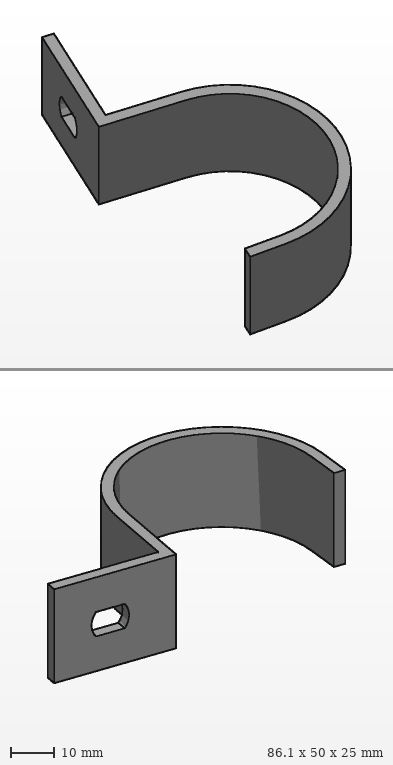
import cadquery as cq
import math

length = 86.1
depth = 50.0
width = 25.0
thickness = 3.0

outer_radius = 28.0
inner_radius = outer_radius - thickness
foot_length = 32.5
tail_end_y = 14.55

hole_diameter = 10.0
hole_height = 6.45
hole_x = 15.0

center_x = foot_length + inner_radius
center_y = depth - outer_radius

reach = length - center_x
drop = center_y - tail_end_y
lean = math.acos(outer_radius / math.hypot(reach, drop)) - math.atan2(drop, reach)
tail_inner_x = length - thickness / math.cos(lean)


def bend_point(radius, angle):
    """Point on the bend, at an angle in radians from +X."""
    return (center_x + radius * math.cos(angle), center_y + radius * math.sin(angle))


def make_strip():
    """Bent strip profile, extruded across its width."""
    return (
        cq.Workplane("XY")
        .moveTo(0, 0)
        .lineTo(foot_length, 0)
        .lineTo(foot_length, center_y)
        .threePointArc(bend_point(inner_radius, math.pi / 2), bend_point(inner_radius, lean))
        .lineTo(tail_inner_x, tail_end_y)
        .lineTo(length, tail_end_y)
        .lineTo(*bend_point(outer_radius, lean))
        .threePointArc(bend_point(outer_radius, math.pi / 2), bend_point(outer_radius, math.pi))
        .lineTo(foot_length - thickness, thickness)
        .lineTo(0, thickness)
        .close()
        .extrude(width)
    )


def make_hole_cutter():
    """Round plug with flat top and bottom, passing through the foot."""
    plug = (
        cq.Workplane("XZ")
        .center(hole_x, width / 2)
        .circle(hole_diameter / 2)
        .extrude(-thickness)
    )
    flats = (
        cq.Workplane("XZ")
        .center(hole_x, width / 2)
        .rect(hole_diameter, hole_height)
        .extrude(-thickness)
    )
    return plug.intersect(flats)


result = make_strip().cut(make_hole_cutter())